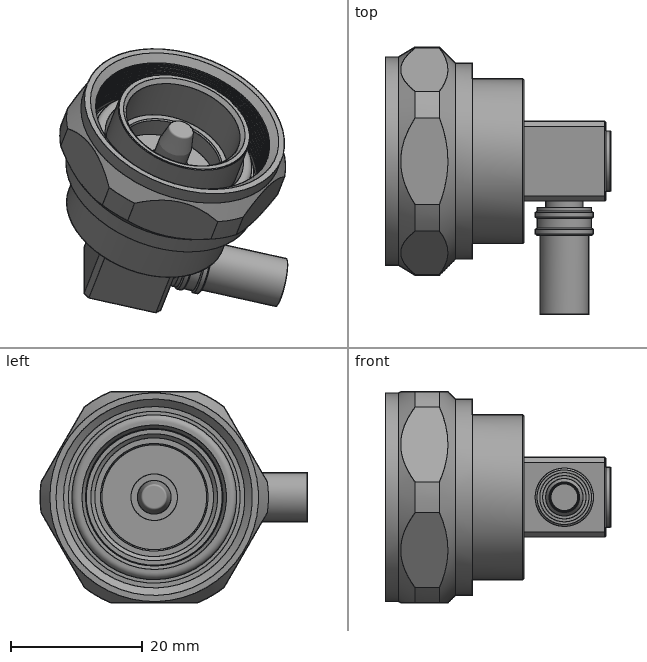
import cadquery as cq
import math


ACROSS_FLATS = 32.0
CORNER_RADIUS = 17.3
FLANGE_RADIUS = 15.8
FLANGE_END = 2.0
CORNER_START = 4.5
CORNER_END = 8.2
COLLAR_RADIUS = 14.87
COLLAR_START = CORNER_END + CORNER_RADIUS - COLLAR_RADIUS
COLLAR_END = 13.17

MOUTH_RADIUS = 14.87
THREAD_CREST_RADIUS = 13.75
MOUTH_CHAMFER_DEPTH = 0.97
THREAD_PITCH = 0.75
THREAD_GROOVE_WIDTH = THREAD_PITCH / 2
THREAD_GROOVE_DEPTH = 0.15
THREAD_COUNT = 9
NUT_FLOOR = 8.5

BODY_RADIUS = 12.52
BODY_END = 21.05
BODY_CHAMFER = 0.25

SEAT_BASE_RADIUS = 13.0
SEAT_BASE_FACE = 7.1
SEAT_RADIUS = 12.5
SEAT_ROUND = 0.97
SEAT_FACE = 5.47
SEAT_CONE_RADIUS = 10.95
SEAT_CONE_DEPTH = 1.2

TUBE_RADIUS = 10.4
TUBE_EDGE_CHAMFER = 0.12
TUBE_TIP = 0.15
TUBE_BORE_RADIUS = 9.0
TUBE_BORE_CHAMFER = 0.6
TUBE_STEP = 7.35
CAVITY_RADIUS = 7.95
CAVITY_CHAMFER = 0.2
CAVITY_FLOOR = 10.45

PIN_RADIUS = 2.55
PIN_TIP_RADIUS = 1.9
PIN_TIP_ROUND = 0.32
PIN_TIP = 1.65
PIN_TAPER_END = 4.85
CONDUCTOR_RADIUS = 3.53
CONDUCTOR_FACE = 9.32

BLOCK_SIDE = 12.1
BLOCK_END = 33.4
BLOCK_EDGE_CHAMFER = 0.75
BLOCK_END_CHAMFER = 0.15
CAP_RADIUS = 4.6
CAP_END = 34.2
CAP_EDGE_LENGTH = 0.2
CAP_EDGE_DEPTH = 0.1

SLEEVE_X = 27.1
SLEEVE_END = 40.55 - CORNER_RADIUS
SLEEVE_RADIUS = 3.73
SLEEVE_BORE_RADIUS = 3.3
SLEEVE_COLLAR_START = 7.0
SLEEVE_COLLAR_RADIUS = 4.15
SLEEVE_FLOOR = 7.65
RIB_RADIUS = 4.4
RIB_WIDTH = 1.1
RIB_CHAMFER_LENGTH = 0.2
RIB_STARTS = (7.58, 10.15)
FERRULE_RADIUS = 2.85
FERRULE_TIP = 21.0
FERRULE_TIP_RADIUS = 2.3
FERRULE_TAPER = 1.0
FERRULE_BORE_RADIUS = 2.03
FERRULE_BORE_CHAMFER = 0.15


def revolve_about_x(points):
    """Solid of revolution about the connector axis from (x, radius) points."""
    return cq.Workplane("XY").polyline(points).close().revolve(360, (0, 0, 0), (1, 0, 0))


def revolve_about_sleeve_axis(points):
    """Solid of revolution about the sleeve axis from (distance along -Y, radius) points."""
    outline = [(SLEEVE_X + radius, -distance) for distance, radius in points]
    return cq.Workplane("XY").polyline(outline).close().revolve(360, (SLEEVE_X, 0, 0), (SLEEVE_X, 1, 0))


def cylinder_x(start, end, radius):
    return cq.Workplane("YZ").workplane(offset=start).circle(radius).extrude(end - start)


def cylinder_y(start, end, radius):
    """Cylinder on the sleeve axis between two distances along -Y."""
    plane = cq.Workplane("XZ", origin=(SLEEVE_X, -start, 0))
    return plane.circle(radius).extrude(end - start)


def make_nut_outside():
    turned = revolve_about_x([
        (0, 0),
        (0, FLANGE_RADIUS),
        (FLANGE_END, FLANGE_RADIUS),
        (CORNER_START, CORNER_RADIUS),
        (CORNER_END, CORNER_RADIUS),
        (COLLAR_START, COLLAR_RADIUS),
        (COLLAR_END, COLLAR_RADIUS),
        (COLLAR_END, 0),
    ])
    across_corners = ACROSS_FLATS / math.cos(math.pi / 6)
    hexagon = cq.Workplane("YZ").polygon(6, across_corners).extrude(COLLAR_END)
    return turned.intersect(hexagon)


def make_nut_cavity():
    points = [(0, 0), (0, MOUTH_RADIUS), (MOUTH_CHAMFER_DEPTH, THREAD_CREST_RADIUS)]
    root_radius = THREAD_CREST_RADIUS + THREAD_GROOVE_DEPTH
    for i in range(THREAD_COUNT):
        end = MOUTH_CHAMFER_DEPTH + (i + 1) * THREAD_PITCH
        start = end - THREAD_GROOVE_WIDTH
        points += [
            (start, THREAD_CREST_RADIUS),
            (start, root_radius),
            (end, root_radius),
            (end, THREAD_CREST_RADIUS),
        ]
    points += [(NUT_FLOOR, THREAD_CREST_RADIUS), (NUT_FLOOR, 0)]
    return revolve_about_x(points)


def make_gasket_seat():
    base = cylinder_x(SEAT_BASE_FACE, COLLAR_END, SEAT_BASE_RADIUS)
    seat = cylinder_x(SEAT_FACE, COLLAR_END, SEAT_RADIUS).faces("<X").edges().fillet(SEAT_ROUND)
    recess = revolve_about_x([
        (SEAT_FACE, 0),
        (SEAT_FACE, SEAT_CONE_RADIUS),
        (SEAT_FACE + SEAT_CONE_DEPTH, TUBE_RADIUS),
        (SEAT_FACE + SEAT_CONE_DEPTH, 0),
    ])
    return base.union(seat).cut(recess)


def make_contact_tube():
    """Solid outside of the tube; its bore is cut later."""
    tube = cylinder_x(TUBE_TIP, COLLAR_END, TUBE_RADIUS)
    return tube.faces("<X").edges().chamfer(TUBE_EDGE_CHAMFER)


def make_tube_bore():
    return revolve_about_x([
        (TUBE_TIP, 0),
        (TUBE_TIP, TUBE_BORE_RADIUS + TUBE_BORE_CHAMFER),
        (TUBE_TIP + TUBE_BORE_CHAMFER, TUBE_BORE_RADIUS),
        (TUBE_STEP, TUBE_BORE_RADIUS),
        (TUBE_STEP, CAVITY_RADIUS + CAVITY_CHAMFER),
        (TUBE_STEP + CAVITY_CHAMFER, CAVITY_RADIUS),
        (CAVITY_FLOOR, CAVITY_RADIUS),
        (CAVITY_FLOOR, 0),
    ])


def make_pin():
    pin = revolve_about_x([
        (PIN_TIP, 0),
        (PIN_TIP, PIN_TIP_RADIUS),
        (PIN_TAPER_END, PIN_RADIUS),
        (CONDUCTOR_FACE, PIN_RADIUS),
        (CONDUCTOR_FACE, CONDUCTOR_RADIUS),
        (COLLAR_END, CONDUCTOR_RADIUS),
        (COLLAR_END, 0),
    ])
    return pin.faces("<X").edges().fillet(PIN_TIP_ROUND)


def make_body():
    body = cylinder_x(COLLAR_END, BODY_END, BODY_RADIUS)
    return body.faces(">X").edges().chamfer(BODY_CHAMFER)


def make_block():
    section = cq.Workplane("YZ").workplane(offset=COLLAR_END).rect(BLOCK_SIDE, BLOCK_SIDE)
    block = section.extrude(BLOCK_END - COLLAR_END).edges("|X").chamfer(BLOCK_EDGE_CHAMFER)
    return block.faces(">X").edges().chamfer(BLOCK_END_CHAMFER)


def make_cap():
    return revolve_about_x([
        (BODY_END, 0),
        (BODY_END, CAP_RADIUS),
        (CAP_END - CAP_EDGE_LENGTH, CAP_RADIUS),
        (CAP_END, CAP_RADIUS - CAP_EDGE_DEPTH),
        (CAP_END, 0),
    ])


def make_rib(start):
    end = start + RIB_WIDTH
    return revolve_about_sleeve_axis([
        (start, 0),
        (start, SLEEVE_COLLAR_RADIUS),
        (start + RIB_CHAMFER_LENGTH, RIB_RADIUS),
        (end - RIB_CHAMFER_LENGTH, RIB_RADIUS),
        (end, SLEEVE_COLLAR_RADIUS),
        (end, 0),
    ])


def make_sleeve():
    collar_end = RIB_STARTS[-1] + RIB_WIDTH
    sleeve = cylinder_y(SLEEVE_COLLAR_START, SLEEVE_END, SLEEVE_RADIUS)
    sleeve = sleeve.union(cylinder_y(SLEEVE_COLLAR_START, collar_end, SLEEVE_COLLAR_RADIUS))
    for start in RIB_STARTS:
        sleeve = sleeve.union(make_rib(start))
    return sleeve.cut(cylinder_y(SLEEVE_FLOOR, SLEEVE_END, SLEEVE_BORE_RADIUS))


def make_ferrule():
    """Inner tube with a tapered tip, rooted in the block."""
    return revolve_about_sleeve_axis([
        (0, 0),
        (0, FERRULE_RADIUS),
        (FERRULE_TIP - FERRULE_TAPER, FERRULE_RADIUS),
        (FERRULE_TIP, FERRULE_TIP_RADIUS),
        (FERRULE_TIP, 0),
    ])


def make_ferrule_bore():
    """Blind bore down to the face of the block, with a chamfered mouth."""
    return revolve_about_sleeve_axis([
        (BLOCK_SIDE / 2, 0),
        (BLOCK_SIDE / 2, FERRULE_BORE_RADIUS),
        (FERRULE_TIP - FERRULE_BORE_CHAMFER, FERRULE_BORE_RADIUS),
        (FERRULE_TIP, FERRULE_BORE_RADIUS + FERRULE_BORE_CHAMFER),
        (FERRULE_TIP, 0),
    ])


connector_end = (
    make_nut_outside()
    .cut(make_nut_cavity())
    .union(make_gasket_seat())
    .union(make_contact_tube())
    .cut(make_tube_bore())
    .union(make_pin())
)
elbow = make_body().union(make_block()).union(make_cap())
cable_end = make_sleeve().union(make_ferrule())
result = connector_end.union(elbow).union(cable_end).cut(make_ferrule_bore())